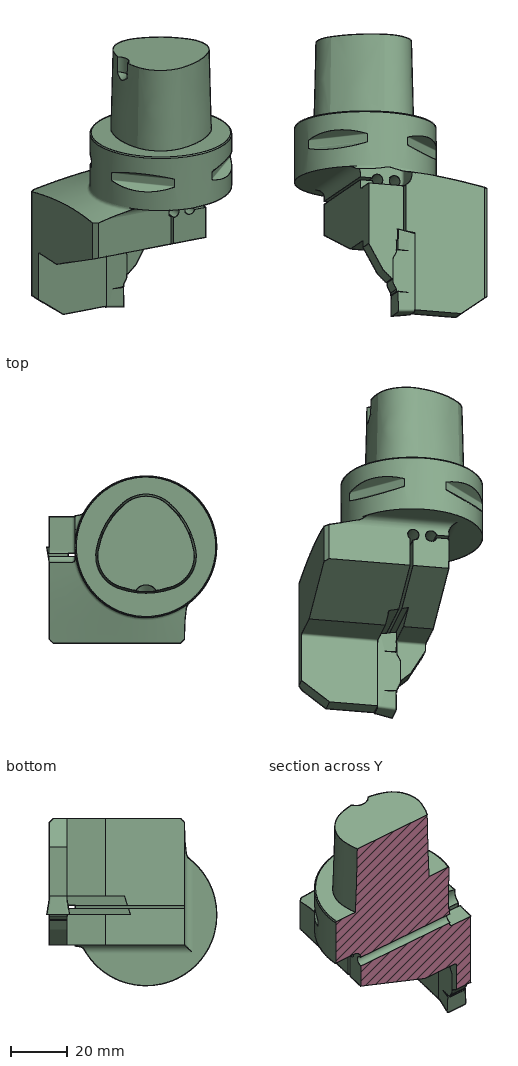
import cadquery as cq
import math


flange_diameter = 50.0
flange_height = 20.1
flange_chamfer = 0.4
flange_radius = flange_diameter / 2

shank_height = 30.0
shank_taper = math.degrees(math.atan(1 / 40))
lobe_reach = 18.6
side_reach = 16.4
lobe_center_offset = 6.4

notch_radius = 4.2
notch_axis_y = -17.6
notch_straight_depth = 5.7
notch_tip_height = 3.2

groove_count = 4
groove_floor_distance = 22.2
groove_center_z = -9.9
groove_floor_width = 2.9
groove_mouth_width = 6.7
groove_corner_radius = 0.4

neck_fillet = 1.3
neck_slope = math.radians(15)

left_x = -34.1
right_x = 13.6
front_y = -34.0
back_y = 10.6
corner_chamfer = 1.5
flare_radius = 3.0
blade_width = 6.3
blade_inner_x = left_x + blade_width
blade_root_fillet = 0.8
block_bottom_z = -48.3
block_slope_start_x = -14.3
block_right_bottom_z = -37.0
blade_bottom_z = -73.5
blade_slope_y = -23.9
blade_front_bottom_z = -66.2
jaw_tip = (2.0, -62.9)
jaw_knee = (5.2, -60.0)
jaw_back_bottom_z = -50.8

shelf_front_y = -5.5
shelf_z = -28.9
shelf_front_radius = 4.3
shelf_inner_radius = 1.0

spring_hole_diameter = 4.0
spring_hole_z = -25.1
back_hole_y = 4.2
front_hole_y = -2.2
slit_width = 1.0
clamp_slit_y = -2.8

insert_top_y = -0.1
insert_seat_y = -6.6
insert_half_length = 15.1
insert_end_relief = 0.8
insert_bulge_y = 1.6
insert_bulge_half_height = 4.4
insert_bulge_root_half_height = 6.7
insert_bulge_radius = 2.1
chip_ridge_y = 0.3
chip_ridge_half_height = 11.1
insert_bottom_z = shank_height - 105
insert_mid_z = insert_bottom_z + insert_half_length
insert_center_x = left_x + blade_width / 2

head_width = 8.2
head_inner_width = 7.6
head_relief_y = -6.0
head_inner_relief_y = -4.0
head_inner_half_height = 7.6
head_corner_radius = 0.8

overcut = 5.2


def polar(radius, degrees):
    angle = math.radians(degrees)
    return cq.Vector(radius * math.cos(angle), radius * math.sin(angle))


def shank_outline():
    """Three lobe arcs and three side arcs, all tangent to each other."""
    lobe_radius = lobe_reach - lobe_center_offset
    reach_gap = lobe_reach - side_reach
    side_center_offset = 2 * reach_gap + 3 * reach_gap**2 / (lobe_center_offset - 2 * reach_gap)

    def seam(lobe_angle, side_angle):
        lobe_center = polar(lobe_center_offset, lobe_angle)
        side_center = polar(side_center_offset, side_angle + 180)
        return lobe_center + (lobe_center - side_center).normalized() * lobe_radius

    lobe_angles = (90, 210, 330)
    half_pitch = 60
    start = seam(lobe_angles[0], lobe_angles[0] - half_pitch)
    outline = cq.Workplane("XY").moveTo(start.x, start.y)
    for lobe_angle in lobe_angles:
        next_side = lobe_angle + half_pitch
        lobe_tip = polar(lobe_reach, lobe_angle)
        lobe_end = seam(lobe_angle, next_side)
        side_middle = polar(side_reach, next_side)
        side_end = seam(lobe_angle + 2 * half_pitch, next_side)
        outline = outline.threePointArc(lobe_tip, lobe_end).threePointArc(side_middle, side_end)
    return outline.close()


def shank():
    body = shank_outline().extrude(shank_height, taper=shank_taper)
    straight_end_z = shank_height - notch_straight_depth
    drill = (
        cq.Workplane("XZ")
        .moveTo(0, straight_end_z - notch_tip_height)
        .lineTo(notch_radius, straight_end_z)
        .lineTo(notch_radius, shank_height + overcut)
        .lineTo(0, shank_height + overcut)
        .close()
        .revolve(360, (0, 0, 0), (0, 1, 0))
        .translate((0, notch_axis_y, 0))
    )
    return body.cut(drill)


def flange():
    body = (
        cq.Workplane("XY")
        .circle(flange_radius)
        .extrude(-flange_height)
        .faces(">Z")
        .chamfer(flange_chamfer)
    )
    side_slope = (groove_mouth_width - groove_floor_width) / 2 / (flange_radius - groove_floor_distance)
    floor_half = groove_floor_width / 2
    mouth_half = floor_half + side_slope * (flange_radius + overcut - groove_floor_distance)
    groove = (
        cq.Workplane("XZ")
        .polyline([
            (groove_floor_distance, groove_center_z - floor_half),
            (flange_radius + overcut, groove_center_z - mouth_half),
            (flange_radius + overcut, groove_center_z + mouth_half),
            (groove_floor_distance, groove_center_z + floor_half),
        ])
        .close()
        .extrude(flange_radius, both=True)
        .edges("|Y and <X")
        .fillet(groove_corner_radius)
    )
    pitch = 360 / groove_count
    for index in range(groove_count):
        body = body.cut(groove.rotate((0, 0, 0), (0, 0, 1), (index + 0.5) * pitch))
    return body


def neck_envelope():
    """Solid of revolution whose top is the conical neck with its fillet to the flange."""
    center_r = flange_radius + neck_fillet
    outer_r = flange_diameter

    def fillet_point(angle):
        return (
            center_r - neck_fillet * math.cos(angle),
            -flange_height - neck_fillet * math.sin(angle),
        )

    fillet_angle = math.pi / 2 - neck_slope
    cone_start_r, cone_start_z = fillet_point(fillet_angle)
    cone_end_z = cone_start_z - (outer_r - cone_start_r) * math.tan(neck_slope)
    return (
        cq.Workplane("XZ")
        .moveTo(0, -flange_height)
        .lineTo(flange_radius, -flange_height)
        .threePointArc(fillet_point(fillet_angle / 2), (cone_start_r, cone_start_z))
        .lineTo(outer_r, cone_end_z)
        .lineTo(outer_r, blade_bottom_z - overcut)
        .lineTo(0, blade_bottom_z - overcut)
        .close()
        .revolve(360, (0, 0, 0), (0, 1, 0))
    )


def block_and_blade():
    blade_root = (blade_inner_x, (front_y + back_y) / 2, block_bottom_z)
    front_profile = (
        cq.Workplane("XZ", origin=(0, front_y, 0))
        .polyline([
            (left_x, -flange_height),
            (left_x, blade_bottom_z),
            (blade_inner_x, blade_bottom_z),
            (blade_inner_x, block_bottom_z),
            (block_slope_start_x, block_bottom_z),
            (right_x, block_right_bottom_z),
            (right_x, -flange_height),
        ])
        .close()
        .extrude(front_y - back_y)
        .edges(cq.selectors.NearestToPointSelector(blade_root))
        .fillet(blade_root_fillet)
    )
    side_profile = (
        cq.Workplane("YZ", origin=(left_x, 0, 0))
        .polyline([
            (front_y, -flange_height),
            (front_y, blade_front_bottom_z),
            (blade_slope_y, blade_bottom_z),
            (insert_seat_y, blade_bottom_z),
            (insert_seat_y, jaw_tip[1]),
            jaw_tip,
            jaw_knee,
            (back_y, jaw_back_bottom_z),
            (back_y, -flange_height),
        ])
        .close()
        .extrude(right_x - left_x)
    )
    plate = cq.Workplane("XY", origin=(left_x, front_y, -flange_height)).box(
        right_x + overcut - left_x, back_y + overcut - front_y, overcut, centered=False
    )
    right_middle = (right_x, (front_y + back_y) / 2, -flange_height)
    back_middle = ((left_x + right_x) / 2, back_y, -flange_height)
    body = front_profile.intersect(side_profile).union(plate)
    right_edge = body.edges(cq.selectors.NearestToPointSelector(right_middle))
    back_edge = body.edges(cq.selectors.NearestToPointSelector(back_middle))
    body = right_edge.add(back_edge).fillet(flare_radius)
    body = body.intersect(neck_envelope())
    return body.faces("<Y").edges("|Z").edges("<X or >X").chamfer(corner_chamfer)


def shelf_cutter():
    outer_x = left_x - overcut
    return (
        cq.Workplane("YZ", origin=(outer_x, 0, 0))
        .rect(back_y + overcut - shelf_front_y, -shelf_z, centered=False)
        .extrude(-flange_radius - outer_x)
        .translate((0, shelf_front_y, shelf_z))
        .edges("|X and <Y and <Z")
        .fillet(shelf_front_radius)
        .faces(">X")
        .edges("not (>Y or >Z)")
        .fillet(shelf_inner_radius)
    )


def through_cut(sketch):
    """Extrude a side sketch through the whole block in X."""
    return sketch.extrude(right_x - left_x + 2 * overcut)


def side_plane():
    return cq.Workplane("YZ", origin=(left_x - overcut, 0, 0))


def jaw_slits():
    holes = through_cut(
        side_plane()
        .pushPoints([(back_hole_y, spring_hole_z), (front_hole_y, spring_hole_z)])
        .circle(spring_hole_diameter / 2)
    )
    back_slit_length = back_y + overcut - back_hole_y
    back_slit = through_cut(
        side_plane()
        .center(back_hole_y + back_slit_length / 2, spring_hole_z)
        .rect(back_slit_length, slit_width)
    )
    clamp_slit_length = spring_hole_z - insert_mid_z
    clamp_slit = through_cut(
        side_plane()
        .center(clamp_slit_y, spring_hole_z - clamp_slit_length / 2)
        .rect(slit_width, clamp_slit_length)
    )
    return holes.union(back_slit).union(clamp_slit)


def insert_blank():
    """Side profile of the insert, extended in X across the whole block."""
    seat_half_length = insert_half_length - insert_end_relief
    outline = (
        side_plane()
        .center(0, insert_mid_z)
        .polyline([
            (insert_seat_y, -seat_half_length),
            (insert_top_y, -insert_half_length),
            (insert_top_y, -chip_ridge_half_height),
            (chip_ridge_y, -chip_ridge_half_height),
            (chip_ridge_y, -insert_bulge_root_half_height),
            (insert_bulge_y, -insert_bulge_half_height),
            (insert_bulge_y, insert_bulge_half_height),
            (chip_ridge_y, insert_bulge_root_half_height),
            (chip_ridge_y, chip_ridge_half_height),
            (insert_top_y, chip_ridge_half_height),
            (insert_top_y, insert_half_length),
            (insert_seat_y, seat_half_length),
        ])
        .close()
    )
    return through_cut(outline).faces(">Y").edges("|X").fillet(insert_bulge_radius)


def cutting_head(direction):
    """One head of the insert: direction is 1 for the upper and -1 for the lower head."""

    def section(width, relief_y):
        half_width = width / 2
        half_blade = blade_width / 2
        right_half = [
            (half_width, insert_top_y),
            (half_blade, relief_y),
            (half_blade, insert_seat_y),
        ]
        return right_half + [(-x, y) for x, y in reversed(right_half)]

    inner_z = insert_mid_z + direction * head_inner_half_height
    length = direction * (insert_half_length - head_inner_half_height)
    return (
        cq.Workplane("XY", origin=(insert_center_x, 0, inner_z))
        .polyline(section(head_inner_width, head_inner_relief_y))
        .close()
        .workplane(offset=length)
        .polyline(section(head_width, head_relief_y))
        .close()
        .loft(ruled=True)
    )


def cutting_insert():
    middle_height = 2 * head_inner_half_height
    middle = cq.Workplane("XY", origin=(insert_center_x, 0, insert_mid_z)).box(
        blade_width, flange_diameter, middle_height
    )
    blank = insert_blank()
    body = blank.intersect(middle)
    for direction in (1, -1):
        end = ">Z" if direction > 0 else "<Z"
        head = cutting_head(direction).intersect(blank)
        body = body.union(head.faces(end).edges("not |X").fillet(head_corner_radius))
    return body


def tool_holder():
    body = shank().union(flange()).union(block_and_blade())
    return body.cut(shelf_cutter().intersect(neck_envelope())).cut(jaw_slits()).cut(insert_blank())


holder = tool_holder().solids()
insert = cutting_insert().solids()
result = cq.Compound.makeCompound([holder.val(), insert.val()])